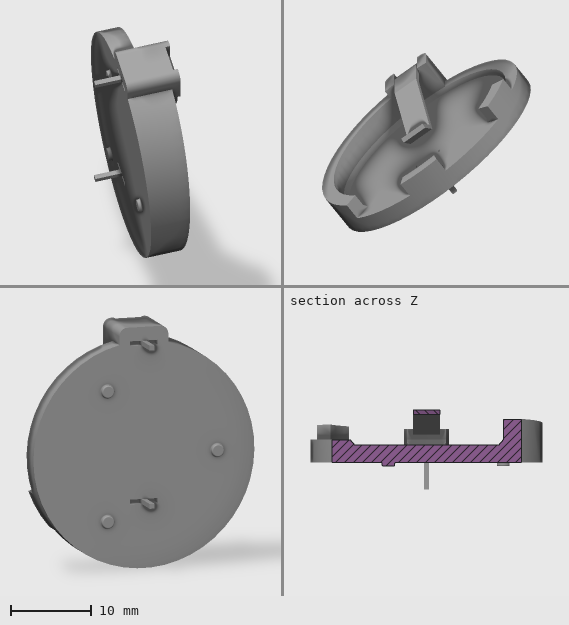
import cadquery as cq
import math


disc_radius = 14.35
floor_level = 2.2
ledge_level = 2.83
pocket_radius = 12.55
pocket_floor_radius = 12.15
clip_level = 4.15
rim_level = 4.9
rim_slope = 3.3
blank_level = 7.62

tab_angle = 90.0
block_start_angle = 199.0
window_angle = 40.3
clip_half_angle = 11.2

tab_width = 6.35
tab_top = 16.12
tab_depth = 6.8
tab_corner_radius = 1.0

peg_count = 3
peg_circle_radius = 9.5
peg_radius = 0.8
peg_height = 0.5
peg_round = 0.15

sheet = 0.6
contact_width = 3.32
slot_width = 3.6
contact_inset = 1.0
pin_width = 0.65
pin_reach = 3.38
pin_spacing = 20.0
upper_pin_z = 14.08
lower_pin_z = upper_pin_z - pin_spacing

spring_top_y = tab_depth - sheet / 2
spring_knee_z = 9.27
spring_contact_y = 3.75
spring_contact_z = -0.88
spring_tip_y = 5.2
spring_tip_z = -3.4


def box(width, y_start, y_end, z_start, z_end):
    """Block centred on X = 0."""
    size_y = y_end - y_start
    size_z = z_end - z_start
    block = cq.Workplane("XY").box(width, size_y, size_z)
    return block.translate((0, y_start + size_y / 2, z_start + size_z / 2))


def disc_slice(start_angle, end_angle, bottom_level):
    """Pie slice wider than the disc, from the given Y level to the top of the blank."""
    def outer_point(angle):
        turn = math.radians(angle)
        return 2 * disc_radius * math.cos(turn), 2 * disc_radius * math.sin(turn)

    return (
        cq.Workplane("XZ", origin=(0, bottom_level, 0))
        .lineTo(*outer_point(start_angle))
        .threePointArc(outer_point((start_angle + end_angle) / 2), outer_point(end_angle))
        .close()
        .extrude(bottom_level - blank_level)
    )


def make_rimmed_disc():
    """Disc whose rim is a tall +X wall, a low -X ledge, a short -X block and a bottom clip."""
    above_slope = (
        cq.Workplane("XY")
        .box(4 * disc_radius, 2 * blank_level, 4 * disc_radius)
        .translate((0, blank_level, 0))
        .rotate((0, 0, 0), (1, 0, 0), -rim_slope)
        .translate((0, rim_level, 0))
    )
    clip_start_angle = 270 - clip_half_angle
    clip_end_angle = 270 + clip_half_angle
    return (
        cq.Workplane("XZ")
        .circle(disc_radius)
        .extrude(-blank_level)
        .cut(above_slope)
        .cut(disc_slice(tab_angle, block_start_angle, ledge_level))
        .cut(disc_slice(180 + window_angle, clip_start_angle, floor_level))
        .cut(disc_slice(clip_start_angle, clip_end_angle, clip_level))
        .cut(disc_slice(clip_end_angle, 360 - window_angle, floor_level))
    )


def make_tab():
    tab = box(tab_width, 0, tab_depth, 0, tab_top)
    return tab.edges("|Y and >Z").fillet(tab_corner_radius)


def make_pocket():
    """Cell space: straight bore above the ledge level, tapered down to the floor."""
    return (
        cq.Workplane("XY")
        .moveTo(0, floor_level)
        .lineTo(pocket_floor_radius, floor_level)
        .lineTo(pocket_radius, ledge_level)
        .lineTo(pocket_radius, blank_level)
        .lineTo(0, blank_level)
        .close()
        .revolve(360, (0, 0, 0), (0, 1, 0))
    )


def make_peg():
    """Peg on the Y axis with a flared base and a rounded tip."""
    arc_shift = peg_round * math.sqrt(0.5)
    flare_radius = peg_radius + peg_round
    tip_radius = peg_radius - peg_round
    tip_start = peg_round - peg_height
    return (
        cq.Workplane("XY")
        .lineTo(flare_radius, 0)
        .threePointArc((flare_radius - arc_shift, arc_shift - peg_round), (peg_radius, -peg_round))
        .lineTo(peg_radius, tip_start)
        .threePointArc((tip_radius + arc_shift, tip_start - arc_shift), (tip_radius, -peg_height))
        .lineTo(0, -peg_height)
        .close()
        .revolve(360, (0, 0, 0), (0, 1, 0))
    )


def sheet_plate(width, y_start, y_end, middle_z):
    """Plate of sheet thickness, square to Z."""
    return box(width, y_start, y_end, middle_z - sheet / 2, middle_z + sheet / 2)


def make_housing():
    housing = make_rimmed_disc().union(make_tab()).cut(make_pocket())
    for index in range(peg_count):
        turn = math.radians(index * 360 / peg_count)
        place = (peg_circle_radius * math.cos(turn), 0, peg_circle_radius * math.sin(turn))
        housing = housing.union(make_peg().translate(place))
    spring_notch = box(slot_width, tab_depth - sheet, tab_depth, 0, tab_top)
    housing = housing.cut(spring_notch)
    for pin_z in (upper_pin_z, lower_pin_z):
        housing = housing.cut(sheet_plate(slot_width, 0, tab_depth, pin_z))
    return housing


def make_pin(pin_z):
    return sheet_plate(pin_width, -pin_reach, contact_inset, pin_z)


def make_spring_contact():
    """Strip bent over the tab, down across the pocket and back out at its free end."""
    path = cq.Workplane("YZ").polyline([
        (contact_inset, upper_pin_z),
        (spring_top_y, upper_pin_z),
        (spring_top_y, spring_knee_z),
        (spring_contact_y, spring_contact_z),
        (spring_tip_y, spring_tip_z),
    ])
    strip = (
        cq.Workplane("XZ", origin=(0, contact_inset, upper_pin_z))
        .rect(contact_width, sheet)
        .sweep(path, transition="right")
    )
    bends = (
        (spring_top_y + sheet / 2, upper_pin_z + sheet / 2),
        (spring_top_y + sheet / 2, spring_knee_z),
        (spring_contact_y - sheet / 2, spring_contact_z),
    )
    for bend_y, bend_z in bends:
        outer_edge = cq.selectors.NearestToPointSelector((0, bend_y, bend_z))
        strip = strip.edges("|X").edges(outer_edge).fillet(sheet)
    return strip.union(make_pin(upper_pin_z))


def make_lower_contact():
    """Blade that ends flush with the pocket floor."""
    blade = sheet_plate(contact_width, contact_inset, floor_level, lower_pin_z)
    return blade.union(make_pin(lower_pin_z))


housing = make_housing()
spring_contact = make_spring_contact()
lower_contact = make_lower_contact()

result = cq.Compound.makeCompound([
    housing.solids().val(),
    spring_contact.solids().val(),
    lower_contact.solids().val(),
])